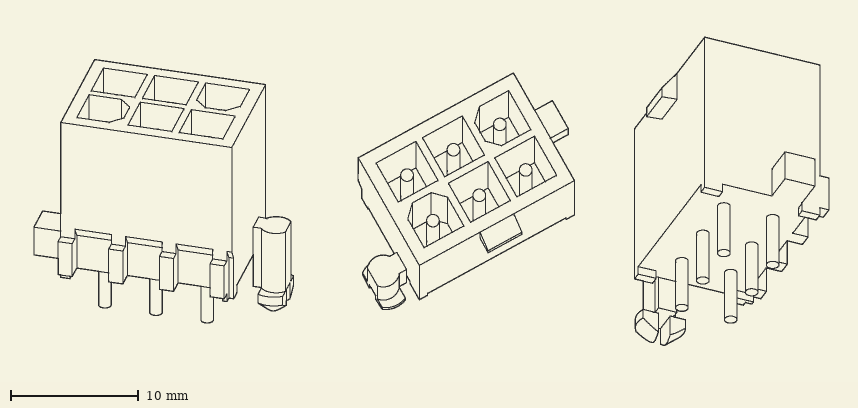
import cadquery as cq


HOUSING_LENGTH = 13.9
HOUSING_DEPTH = 9.82
HOUSING_HEIGHT = 13.5
RIGHT = HOUSING_LENGTH / 2
LEFT = -RIGHT
REAR = HOUSING_DEPTH / 2
FRONT = -REAR
LUG_TOP = 2.55

PITCH = 4.15
COLUMNS = [-PITCH, 0, PITCH]
FRONT_ROW = -PITCH / 2
REAR_ROW = PITCH / 2
PIN_DIAMETER = 1.0
PIN_BOTTOM = -4.42
PIN_TOP = HOUSING_HEIGHT - 1.42
POCKET_SIZE = 3.56
POCKET_FLOOR = LUG_TOP
KEY_CHAMFER = 0.94

FOOT_LENGTH = 0.75
FOOT_DEPTH = 1.53
FOOT_HEIGHT = 0.7

RIB_COUNT = 4
RIB_WIDTH = 1.15
RIB_PROTRUSION = 0.77
RIB_TOP = 3.03
SLOT_WIDTH = 2.97
SLOT_DEPTH = 0.55
SLOT_TOP = 3.9
RIB_PITCH = RIB_WIDTH + SLOT_WIDTH

LATCH_WIDTH = 3.03
LATCH_PROTRUSION = 1.3
LATCH_RAMP_DROP = 1.75
LATCH_TIP_BOTTOM = HOUSING_HEIGHT - 2.6
LATCH_ROOT_BOTTOM = HOUSING_HEIGHT - 2.49

LUG_LENGTH = 2.62
LUG_WIDTH = 2.55

WEB_LENGTH = 0.67
WEB_WIDTH = 1.57
CLIP_LENGTH = 1.95
CLIP_LEFT = RIGHT + WEB_LENGTH
STEM_DIAMETER = 2.55
HEAD_RADIUS = 1.97
HEAD_OFFSET = -0.2
HEAD_TOP = -2.9
HEAD_CONE_TOP = -3.7
CLIP_TIP = -5.05
TIP_RADIUS = 0.52
CLIP_SLOT_WIDTH = 1.0


def box(x0, x1, y0, y1, z0, z1):
    """Box between two opposite corners."""
    return cq.Workplane("XY").box(x1 - x0, y1 - y0, z1 - z0, centered=False).translate((x0, y0, z0))


def make_pin(x, y):
    """Round pin standing in the housing, reaching above the pocket floor and below the housing."""
    return (
        cq.Workplane("XY", origin=(x, y, PIN_BOTTOM))
        .circle(PIN_DIAMETER / 2)
        .extrude(PIN_TOP - PIN_BOTTOM)
    )


def make_pocket(x, y, key_side=None):
    """Square pocket, open at the top; a keyed one has the two corners on key_side chamfered."""
    pocket = (
        cq.Workplane("XY", origin=(x, y, POCKET_FLOOR))
        .rect(POCKET_SIZE, POCKET_SIZE)
        .extrude(HOUSING_HEIGHT - POCKET_FLOOR)
    )
    if key_side:
        pocket = pocket.faces(key_side).edges("|Z").chamfer(KEY_CHAMFER)
    return pocket


def make_feet():
    """Four feet under the corners of the housing."""
    feet = cq.Workplane("XY")
    for x0 in (LEFT, RIGHT - FOOT_LENGTH):
        for y0 in (FRONT, REAR - FOOT_DEPTH):
            feet = feet.union(box(x0, x0 + FOOT_LENGTH, y0, y0 + FOOT_DEPTH, -FOOT_HEIGHT, 0))
    return feet


def make_rib(x0):
    """Rib standing out from the front face, starting at x0."""
    return box(x0, x0 + RIB_WIDTH, FRONT - RIB_PROTRUSION, FRONT, 0, RIB_TOP)


def make_slot(x0):
    """Cutter for the recess right of a rib: open at the bottom, with a ceiling that slopes inward."""
    x1 = min(x0 + SLOT_WIDTH, RIGHT)
    return (
        cq.Workplane("YZ", origin=(x0, 0, 0))
        .moveTo(FRONT, -FOOT_HEIGHT)
        .lineTo(FRONT + SLOT_DEPTH, -FOOT_HEIGHT)
        .lineTo(FRONT + SLOT_DEPTH, RIB_TOP)
        .lineTo(FRONT, SLOT_TOP)
        .close()
        .extrude(x1 - x0)
    )


def make_latch():
    """Latch ramp in the middle of the rear face, level with the top of the housing."""
    tip = REAR + LATCH_PROTRUSION
    return (
        cq.Workplane("YZ")
        .moveTo(REAR, HOUSING_HEIGHT)
        .lineTo(tip, HOUSING_HEIGHT - LATCH_RAMP_DROP)
        .lineTo(tip, LATCH_TIP_BOTTOM)
        .lineTo(REAR, LATCH_ROOT_BOTTOM)
        .close()
        .extrude(LATCH_WIDTH / 2, both=True)
    )


def make_lug():
    """Rectangular lug on the left side, in line with the front pin row."""
    y0 = FRONT_ROW - LUG_WIDTH / 2
    return box(LEFT - LUG_LENGTH, LEFT, y0, y0 + LUG_WIDTH, 0, LUG_TOP)


def make_clip():
    """Board clip on the right side: web, round stem and split conical head, trimmed flat in X."""
    stem_x = CLIP_LEFT + CLIP_LENGTH / 2
    head_x = stem_x + HEAD_OFFSET
    stem = (
        cq.Workplane("XY", origin=(stem_x, REAR_ROW, HEAD_TOP))
        .circle(STEM_DIAMETER / 2)
        .extrude(LUG_TOP - HEAD_TOP)
    )
    head = (
        cq.Workplane("XZ", origin=(head_x, REAR_ROW, 0))
        .moveTo(0, HEAD_TOP)
        .lineTo(HEAD_RADIUS, HEAD_TOP)
        .lineTo(HEAD_RADIUS, HEAD_CONE_TOP)
        .lineTo(TIP_RADIUS, CLIP_TIP)
        .lineTo(0, CLIP_TIP)
        .close()
        .revolve(360, (0, 0, 0), (0, 1, 0))
    )
    split_y = REAR_ROW - CLIP_SLOT_WIDTH / 2
    split = box(CLIP_LEFT, CLIP_LEFT + CLIP_LENGTH, split_y, split_y + CLIP_SLOT_WIDTH, CLIP_TIP, HEAD_TOP)
    trim = box(
        CLIP_LEFT, CLIP_LEFT + CLIP_LENGTH,
        REAR_ROW - HEAD_RADIUS, REAR_ROW + HEAD_RADIUS,
        CLIP_TIP, LUG_TOP,
    )
    web_y = REAR_ROW - WEB_WIDTH / 2
    web = box(RIGHT, stem_x, web_y, web_y + WEB_WIDTH, HEAD_TOP, LUG_TOP)
    return stem.union(head).cut(split).intersect(trim).union(web)


def make_housing(pins):
    """Housing with its pockets, mounting features and a fitting hole for every pin."""
    housing = box(LEFT, RIGHT, FRONT, REAR, 0, HOUSING_HEIGHT).union(make_feet())
    rib_starts = [LEFT + i * RIB_PITCH for i in range(RIB_COUNT)]
    for x0 in rib_starts:
        housing = housing.union(make_rib(x0)).cut(make_slot(x0 + RIB_WIDTH))
    housing = housing.union(make_latch()).union(make_lug()).union(make_clip())
    key_sides = {(COLUMNS[0], FRONT_ROW): ">X", (COLUMNS[-1], REAR_ROW): "<Y"}
    for x in COLUMNS:
        for y in (FRONT_ROW, REAR_ROW):
            housing = housing.cut(make_pocket(x, y, key_sides.get((x, y))))
    for pin in pins:
        housing = housing.cut(pin)
    return housing


pins = [make_pin(x, y) for x in COLUMNS for y in (FRONT_ROW, REAR_ROW)]
housing = make_housing(pins)
result = cq.Compound.makeCompound([housing.val(), *[pin.val() for pin in pins]])